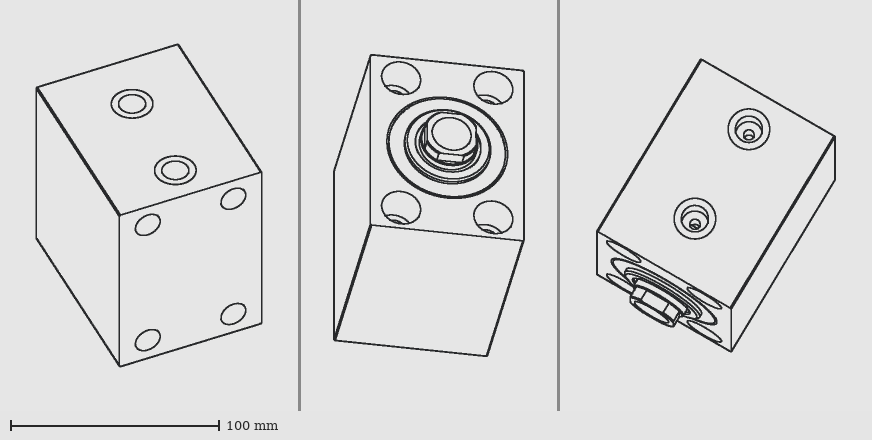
import cadquery as cq
import math


overall_length = 110.0
rod_projection = 11.8
block_length = overall_length - rod_projection
block_width = 75.0
block_height = 100.0
block_edge_chamfer = 0.6

mount_spacing_y = 45.0
mount_spacing_z = 76.0
mount_hole_diameter = 13.0
mount_counterbore_diameter = 19.0
mount_counterbore_depth = 20.0

gland_diameter = 57.0
gland_length = 29.6
gland_seat_chamfer = 1.0
gland_flange_diameter = 42.0
gland_flange_projection = 2.7
gland_flange_chamfer = 1.0
wiper_groove_diameter = 32.0
wiper_groove_depth = 1.0

bore_diameter = 50.0
bore_end = 84.0
piston_start = 50.0
piston_end = 78.0
rod_diameter = 28.0
rod_shoulder_projection = 5.8
rod_shoulder_chamfer = 0.5

head_diameter = rod_diameter - 2 * rod_shoulder_chamfer
head_chamfer = 0.5
head_flat_width = 24.0
head_length = rod_projection - rod_shoulder_projection
head_hole_diameter = 19.0
head_hole_depth = 30.0
drill_point_angle = 118.0

port_positions = (29.2, 80.2)
port_face_diameter = 20.0
port_face_depth = 0.1
port_hole_diameter = 13.0
port_hole_depth = 13.0
port_passage_diameter = 5.0


def x_cylinder(diameter, start, end):
    """Cylinder on the X axis from start to end."""
    return cq.Workplane("YZ", origin=(start, 0, 0)).circle(diameter / 2).extrude(end - start)


def port_cylinder(position, diameter, depth):
    """Vertical cylinder sunk from the top face of the block."""
    top = cq.Workplane("XY", origin=(position, 0, block_height / 2))
    return top.circle(diameter / 2).extrude(-depth)


def make_housing():
    body = cq.Workplane("XY").box(block_length, block_width, block_height, centered=(False, True, True))
    body = body.edges("|X").chamfer(block_edge_chamfer)

    body = (
        body.faces("<X")
        .workplane(centerOption="CenterOfBoundBox")
        .rect(mount_spacing_y, mount_spacing_z, forConstruction=True)
        .vertices()
        .cboreHole(mount_hole_diameter, mount_counterbore_diameter, mount_counterbore_depth)
    )

    gland_seat = x_cylinder(gland_diameter, 0, gland_length)
    body = body.cut(gland_seat)
    body = body.faces("<X").edges(cq.selectors.RadiusNthSelector(-1)).chamfer(gland_seat_chamfer)
    body = body.cut(x_cylinder(bore_diameter, gland_length, bore_end))

    for position in port_positions:
        body = body.cut(port_cylinder(position, port_face_diameter, port_face_depth))
        body = body.cut(port_cylinder(position, port_hole_diameter, port_hole_depth))
        body = body.cut(port_cylinder(position, port_passage_diameter, block_height / 2))
    return body


def make_gland():
    flange = x_cylinder(gland_flange_diameter, -gland_flange_projection, 0)
    flange = flange.faces("<X").edges().chamfer(gland_flange_chamfer)
    body = x_cylinder(gland_diameter, 0, gland_length).union(flange)
    body = body.cut(x_cylinder(rod_diameter, -gland_flange_projection, gland_length))
    groove_floor = -gland_flange_projection + wiper_groove_depth
    return body.cut(x_cylinder(wiper_groove_diameter, -gland_flange_projection, groove_floor))


def make_piston_rod():
    shaft = x_cylinder(rod_diameter, -rod_shoulder_projection, piston_end)
    shaft = shaft.faces("<X").edges().chamfer(rod_shoulder_chamfer)
    piston = x_cylinder(bore_diameter, piston_start, piston_end)

    head = x_cylinder(head_diameter, -rod_projection, -rod_shoulder_projection)
    head = head.faces("<X").edges().chamfer(head_chamfer)
    flats = cq.Workplane("YZ", origin=(-rod_projection, 0, 0))
    flats = flats.rect(head_flat_width, head_flat_width).extrude(head_length)
    body = shaft.union(piston).union(head.intersect(flats))

    hole_end = head_hole_depth - rod_projection
    hole = x_cylinder(head_hole_diameter, -rod_projection, hole_end)
    point_length = head_hole_diameter / 2 / math.tan(math.radians(drill_point_angle / 2))
    drill_point = cq.Workplane("XY").polyline(
        [(hole_end, 0), (hole_end, head_hole_diameter / 2), (hole_end + point_length, 0)]
    )
    drill_point = drill_point.close().revolve(360, (0, 0, 0), (1, 0, 0))
    return body.cut(hole).cut(drill_point)


housing = make_housing()
gland = make_gland()
piston_rod = make_piston_rod()

result = cq.Compound.makeCompound([housing.val(), gland.val(), piston_rod.val()])